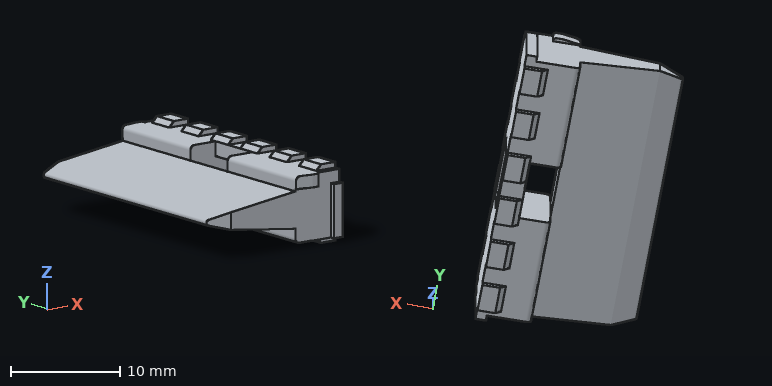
import cadquery as cq
import math

LENGTH = 14.8
WIDTH = 27.0
HEIGHT = 7.4

BODY_WIDTH = 26.0
TOOTH_HEIGHT = 0.55
BODY_HALF_HEIGHT = HEIGHT / 2 - TOOTH_HEIGHT
SHOULDER_X = 9.7
SHOULDER_FILLET = 0.49
ROOT_HALF_HEIGHT = 1.75
BEVEL_LENGTH = 2.27
BEVEL_HALF_HEIGHT = 0.85
NOSE_RADIUS = 0.3
TIP_CORNER_INSET = 0.75

TOOTH_COUNT = 6
TOOTH_PITCH = 4.43
TOOTH_WIDTH = 2.6
TOOTH_LENGTH = 2.2
TOOTH_FRONT_X = LENGTH - TOOTH_LENGTH

WINDOW_WIDTH = 5.6
REAR_OPENING_HEIGHT = 2 * ROOT_HALF_HEIGHT

TAB_LENGTH = 1.0
EAR_BOTTOM_Z = 1.95
EAR_START_STEP = 0.08
EAR_REACH = 0.35
EAR_RAMP_LENGTH = 1.73
EAR_LENGTH = 2.56
EAR_CORNER_RADIUS = 0.3


def extrude_across(profile, width):
    """Extrude an XZ profile symmetrically about the Y = 0 plane."""
    return profile.extrude(width / 2, both=True)


def make_blade():
    """Double-bevelled blade with a round nose and clipped tip corners."""
    run = BEVEL_LENGTH - NOSE_RADIUS
    bevel_angle = math.atan2(BEVEL_HALF_HEIGHT, run) - math.asin(
        NOSE_RADIUS / math.hypot(run, BEVEL_HALF_HEIGHT)
    )
    nose_x = NOSE_RADIUS * (1 - math.sin(bevel_angle))
    nose_z = NOSE_RADIUS * math.cos(bevel_angle)
    profile = (
        cq.Workplane("XZ")
        .moveTo(nose_x, -nose_z)
        .threePointArc((0, 0), (nose_x, nose_z))
        .lineTo(BEVEL_LENGTH, BEVEL_HALF_HEIGHT)
        .lineTo(SHOULDER_X, ROOT_HALF_HEIGHT)
        .lineTo(SHOULDER_X, -ROOT_HALF_HEIGHT)
        .lineTo(BEVEL_LENGTH, -BEVEL_HALF_HEIGHT)
        .close()
    )
    half_width = BODY_WIDTH / 2
    tip_half_width = half_width - TIP_CORNER_INSET
    plan = (
        cq.Workplane("XY")
        .polyline([
            (0, -tip_half_width),
            (BEVEL_LENGTH, -half_width),
            (SHOULDER_X, -half_width),
            (SHOULDER_X, half_width),
            (BEVEL_LENGTH, half_width),
            (0, tip_half_width),
        ])
        .close()
        .extrude(HEIGHT / 2, both=True)
    )
    return extrude_across(profile, BODY_WIDTH).intersect(plan)


def make_ear():
    """Snap bump on the upper part of the +Y end."""
    inner_y = BODY_WIDTH / 2
    outer_y = inner_y + EAR_REACH
    end_x = SHOULDER_X + EAR_LENGTH
    arc_middle = EAR_CORNER_RADIUS * (1 - math.sqrt(0.5))
    return (
        cq.Workplane("XY", origin=(0, 0, EAR_BOTTOM_Z))
        .moveTo(SHOULDER_X, 0)
        .lineTo(SHOULDER_X, inner_y + EAR_START_STEP)
        .lineTo(SHOULDER_X + EAR_RAMP_LENGTH, outer_y)
        .lineTo(end_x - EAR_CORNER_RADIUS, outer_y)
        .threePointArc(
            (end_x - arc_middle, outer_y - arc_middle),
            (end_x, outer_y - EAR_CORNER_RADIUS),
        )
        .lineTo(end_x, 0)
        .close()
        .extrude(BODY_HALF_HEIGHT - EAR_BOTTOM_Z)
    )


def make_body():
    """Rear block with ears, rounded along its front top and bottom edges."""
    ear = make_ear()
    block = (
        cq.Workplane("XY")
        .box(LENGTH - SHOULDER_X, BODY_WIDTH, 2 * BODY_HALF_HEIGHT, centered=(False, True, True))
        .translate((SHOULDER_X, 0, 0))
        .union(ear)
        .union(ear.mirror("XZ"))
    )
    rounded_section = extrude_across(
        cq.Workplane("XZ")
        .center((SHOULDER_X + LENGTH) / 2, 0)
        .rect(LENGTH - SHOULDER_X, 2 * BODY_HALF_HEIGHT),
        WIDTH,
    )
    rounded_section = rounded_section.faces("<X").edges("|Y").fillet(SHOULDER_FILLET)
    return block.intersect(rounded_section)


def make_end_tabs():
    """Thin tabs at the back of both ends, from the underside up to the ear level."""
    height = BODY_HALF_HEIGHT + EAR_BOTTOM_Z
    return (
        cq.Workplane("XY")
        .box(TAB_LENGTH, WIDTH, height, centered=(False, True, False))
        .translate((LENGTH - TAB_LENGTH, 0, -BODY_HALF_HEIGHT))
    )


def make_tooth_pair(y):
    """One tooth on top and one below at y, each with a 45 degree front ramp."""
    top_x = TOOTH_FRONT_X + TOOTH_HEIGHT
    profile = (
        cq.Workplane("XZ")
        .polyline([
            (TOOTH_FRONT_X, -BODY_HALF_HEIGHT),
            (TOOTH_FRONT_X, BODY_HALF_HEIGHT),
            (top_x, HEIGHT / 2),
            (LENGTH, HEIGHT / 2),
            (LENGTH, -HEIGHT / 2),
            (top_x, -HEIGHT / 2),
        ])
        .close()
    )
    return extrude_across(profile, TOOTH_WIDTH).translate((0, y, 0))


def make_openings():
    """Vertical window just behind the blade, open to the back between two bridges."""
    window = (
        cq.Workplane("XY")
        .box(TOOTH_FRONT_X - SHOULDER_X, WINDOW_WIDTH, HEIGHT, centered=(False, True, True))
    )
    rear_opening = (
        cq.Workplane("XY")
        .box(LENGTH - SHOULDER_X, WINDOW_WIDTH, REAR_OPENING_HEIGHT, centered=(False, True, True))
    )
    return window.union(rear_opening).translate((SHOULDER_X, 0, 0))


part = make_blade().union(make_body()).union(make_end_tabs())
for index in range(TOOTH_COUNT):
    tooth_y = (index - (TOOTH_COUNT - 1) / 2) * TOOTH_PITCH
    part = part.union(make_tooth_pair(tooth_y))

result = part.cut(make_openings())